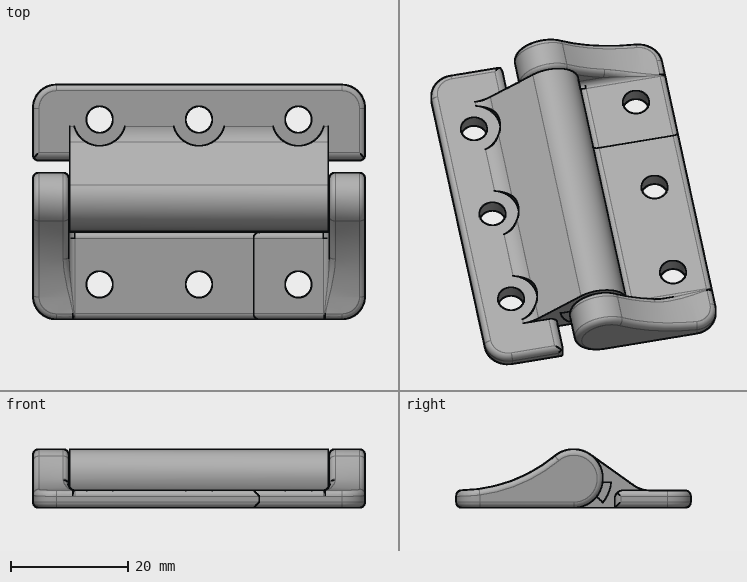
import cadquery as cq
import math

LENGTH = 56.6
DEPTH = 40.0
THICKNESS = 3.0
HEIGHT = 10.0
BARREL_LENGTH = 44.1
CHEEK_GAP = 0.1
EDGE_RADIUS = 1.0
CORNER_RADIUS = 4.0
CHEEK_HOLLOW_END = 19.4
CHEEK_TOE = 0.03

HOLE_DIAMETER = 4.45
HOLE_PITCH = 16.9
HOLE_OFFSET = 14.05
HEAD_CLEARANCE_RADIUS = 4.45

REAR_PLATE_EDGE = 7.0
EAR_RADIUS = 1.45
RAMP_ANGLE = 35.5
RAMP_FILLET = 4.5
FRONT_PLATE_EDGE = 5.15

JOINT_X = 9.3
TONGUE = 1.0

PIN_RADIUS = 2.25
KEY_RADIUS = 6.45
KEY_SPAN = 45.0
KEY_INSET = 0.6

TOLERANCE = 0.01

HALF_LENGTH = LENGTH / 2
HALF_DEPTH = DEPTH / 2
BARREL_RADIUS = HEIGHT / 2
AXIS_Z = BARREL_RADIUS
CHEEK_INNER = BARREL_LENGTH / 2 + CHEEK_GAP


def block(x0, x1, y0, y1, z0, z1):
    return cq.Workplane("XY").box(x1 - x0, y1 - y0, z1 - z0, centered=False).translate((x0, y0, z0))


def extrude_along_x(profile, x0, x1):
    """Extrude a closed YZ outline between two X positions."""
    return profile.extrude(x1 - x0).translate((x0, 0, 0))


def screw_cylinders(y, radius, z0):
    """Three cylinders on a row of screw positions, from z0 upwards."""
    places = [(-HOLE_PITCH, y), (0, y), (HOLE_PITCH, y)]
    return cq.Workplane("XY").workplane(offset=z0).pushPoints(places).circle(radius).extrude(HEIGHT)


def polar(radius, degrees):
    """Point in the YZ plane at an angle from +Y about the hinge axis."""
    angle = math.radians(degrees)
    return (radius * math.cos(angle), AXIS_Z + radius * math.sin(angle))


def top_edge_waste(edge_y, outward, radius, half_length):
    """Waste above a rounded top edge of a leaf plate; outward is +1 where the edge faces +Y, else -1."""
    inward_y = edge_y - outward * radius
    diagonal = radius * math.sqrt(0.5)
    profile = (
        cq.Workplane("YZ")
        .moveTo(edge_y, THICKNESS - radius)
        .threePointArc(
            (inward_y + outward * diagonal, THICKNESS - radius + diagonal),
            (inward_y, THICKNESS),
        )
        .lineTo(edge_y, THICKNESS)
        .close()
    )
    return extrude_along_x(profile, -half_length, half_length)


def keyed_pin():
    half_span = KEY_SPAN / 2
    inset_angle = math.degrees(math.asin(KEY_INSET / KEY_RADIUS))
    apex = polar(KEY_INSET / math.sin(math.radians(half_span)), -half_span)
    key_profile = (
        cq.Workplane("YZ")
        .moveTo(*apex)
        .lineTo(*polar(KEY_RADIUS, -inset_angle))
        .threePointArc(polar(KEY_RADIUS, -half_span), polar(KEY_RADIUS, inset_angle - KEY_SPAN))
        .close()
    )
    core_profile = cq.Workplane("YZ").center(0, AXIS_Z).circle(PIN_RADIUS)
    core = extrude_along_x(core_profile, -BARREL_LENGTH / 2, BARREL_LENGTH / 2)
    key = extrude_along_x(key_profile, -BARREL_LENGTH / 2, BARREL_LENGTH / 2)
    return core.union(key)


def rear_plate():
    """Rounded on three sides; the inner side has a larger top rounding and a sharp bottom edge."""
    inner = REAR_PLATE_EDGE
    plate = block(-HALF_LENGTH, HALF_LENGTH, 0, HALF_DEPTH, 0, THICKNESS)
    plate = plate.edges("|Z and >Y").fillet(CORNER_RADIUS)
    plate = plate.faces("<Z or >Z").edges("not <Y").fillet(EDGE_RADIUS)
    outline = block(-HALF_LENGTH, HALF_LENGTH, inner, 2 * HALF_DEPTH, 0, THICKNESS)
    plate = plate.intersect(outline.edges("|Z and <Y").fillet(EDGE_RADIUS))
    return plate.cut(top_edge_waste(inner, -1, EAR_RADIUS, HALF_LENGTH))


def barrel_and_web():
    tangent = polar(BARREL_RADIUS, 90 - RAMP_ANGLE)
    slope = math.radians(RAMP_ANGLE)
    ramp_foot = tangent[0] + (tangent[1] - THICKNESS) / math.tan(slope)
    fillet_reach = RAMP_FILLET * math.tan(slope / 2)
    fillet_top = (
        ramp_foot - fillet_reach * math.cos(slope),
        THICKNESS + fillet_reach * math.sin(slope),
    )
    fillet_end = (ramp_foot + fillet_reach, THICKNESS)
    profile = (
        cq.Workplane("YZ")
        .moveTo(0, 0)
        .threePointArc(polar(BARREL_RADIUS, 180), tangent)
        .lineTo(*fillet_top)
        .tangentArcPoint(fillet_end, relative=False)
        .lineTo(fillet_end[0], 0)
        .close()
    )
    return extrude_along_x(profile, -BARREL_LENGTH / 2, BARREL_LENGTH / 2)


def rear_leaf(pin_body):
    leaf = rear_plate().union(barrel_and_web())
    leaf = leaf.cut(screw_cylinders(HOLE_OFFSET, HEAD_CLEARANCE_RADIUS, THICKNESS))
    leaf = leaf.cut(screw_cylinders(HOLE_OFFSET, HOLE_DIAMETER / 2, 0))
    return leaf.cut(pin_body)


def cheek_silhouette():
    """Round end, then a hollow curve that is tangent to it and runs out level at the toe."""
    toe_z = THICKNESS + CHEEK_TOE
    drop = AXIS_Z - toe_z
    hollow_radius = (CHEEK_HOLLOW_END**2 + drop**2 - BARREL_RADIUS**2) / (2 * (drop + BARREL_RADIUS))
    hollow_z = toe_z + hollow_radius
    hollow_angle = math.atan2(CHEEK_HOLLOW_END, hollow_z - AXIS_Z)
    tangent = polar(BARREL_RADIUS, 90 + math.degrees(hollow_angle))
    middle = (
        -CHEEK_HOLLOW_END + hollow_radius * math.sin(hollow_angle / 2),
        hollow_z - hollow_radius * math.cos(hollow_angle / 2),
    )
    return (
        cq.Workplane("YZ")
        .moveTo(0, 0)
        .threePointArc(polar(BARREL_RADIUS, 0), tangent)
        .threePointArc(middle, (-CHEEK_HOLLOW_END, toe_z))
        .lineTo(-HALF_DEPTH, toe_z)
        .lineTo(-HALF_DEPTH, 0)
        .close()
    )


def is_exposed_edge(edge):
    """Rim of the front plate edge, outer rims of the cheeks and inner rims of their tops."""
    box = edge.BoundingBox()
    outermost = max(abs(box.xmin), abs(box.xmax))
    innermost = min(abs(box.xmin), abs(box.xmax))
    on_front = box.ymax < -HALF_DEPTH + TOLERANCE
    on_outside = innermost > HALF_LENGTH - CORNER_RADIUS - TOLERANCE
    above_plate = box.zmin > THICKNESS - TOLERANCE
    on_round_end = box.ymax > BARREL_RADIUS - TOLERANCE
    on_inside = (
        edge.geomType() != "LINE"
        and abs(outermost - CHEEK_INNER) < TOLERANCE
        and box.ylen > EDGE_RADIUS + TOLERANCE
    )
    on_outer_rim = (above_plate or on_round_end) and (on_outside or on_front)
    return on_outer_rim or on_inside


def front_leaf():
    leaf = extrude_along_x(cheek_silhouette(), -HALF_LENGTH, HALF_LENGTH)
    trough = block(-CHEEK_INNER, CHEEK_INNER, -HALF_DEPTH, -FRONT_PLATE_EDGE, THICKNESS, HEIGHT)
    leaf = leaf.cut(trough.edges("|Y and <Z").fillet(EDGE_RADIUS))
    leaf = leaf.cut(block(-CHEEK_INNER, CHEEK_INNER, -FRONT_PLATE_EDGE, HEIGHT, 0, HEIGHT))
    leaf = leaf.edges("|Z and <Y").fillet(CORNER_RADIUS)
    exposed = [edge for edge in leaf.edges().vals() if is_exposed_edge(edge)]
    leaf = leaf.newObject(exposed).fillet(EDGE_RADIUS)
    leaf = leaf.cut(top_edge_waste(-FRONT_PLATE_EDGE, 1, EDGE_RADIUS, CHEEK_INNER))
    return leaf.cut(screw_cylinders(-HOLE_OFFSET, HOLE_DIAMETER / 2, 0))


def right_piece_space():
    """Space to the right of the joint, with a groove for the left piece's tongue."""
    tip_x = JOINT_X + TONGUE
    return (
        cq.Workplane("XZ", origin=(0, HALF_DEPTH, 0))
        .moveTo(JOINT_X, 0)
        .lineTo(tip_x, TONGUE)
        .lineTo(tip_x, THICKNESS - TONGUE)
        .lineTo(JOINT_X, THICKNESS)
        .lineTo(JOINT_X, HEIGHT)
        .lineTo(HALF_LENGTH, HEIGHT)
        .lineTo(HALF_LENGTH, 0)
        .close()
        .extrude(2 * HALF_DEPTH)
    )


pin = keyed_pin()
rear = rear_leaf(pin)
front = front_leaf()
front_left = front.cut(right_piece_space())
front_right = front.cut(front_left)

result = cq.Compound.makeCompound([pin.val(), rear.val(), front_left.val(), front_right.val()])